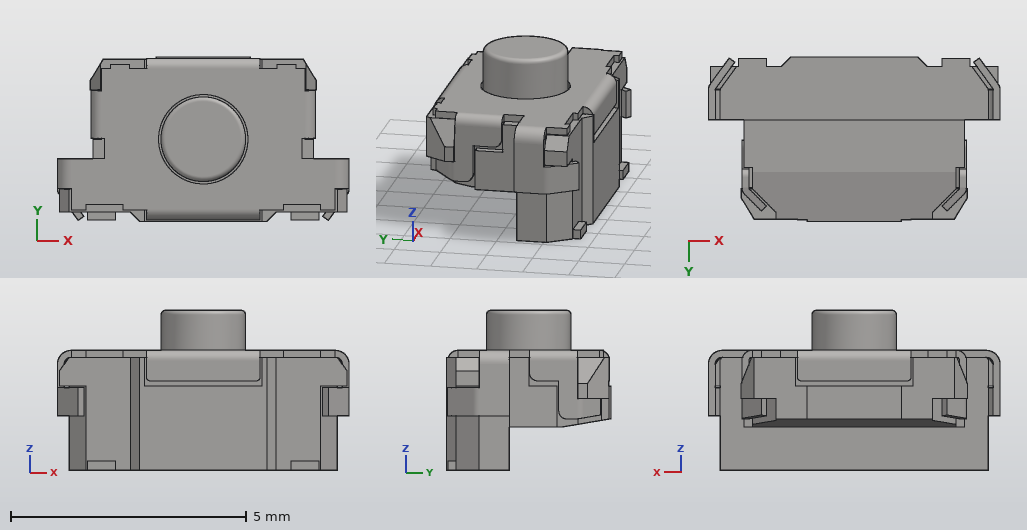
import cadquery as cq
import math


SHEET = 0.15
HOUSING_TOP = 2.4
COVER_TOP = HOUSING_TOP + SHEET
TOTAL_HEIGHT = 3.4
SHOULDER_Z = 1.785
BUTTON_CLEARANCE = 0.05
HOOK_CLEARANCE = 0.03
TAB_CLEARANCE = 0.04
REAR_BOTTOM = 0.915
FRONT_HOOK_ANGLE = 36.0
REAR_HOOK_ANGLE = 45.0
BOTTOM_SLOPE = 0.17

BUTTON_RADIUS = 0.9
BUTTON_ROUND = 0.1
BUTTON_HOLE_RADIUS = BUTTON_RADIUS + BUTTON_CLEARANCE

STEP_Y = -0.41
FRONT_WALL_X = 2.85
FRONT_FACE_Y = -1.55
RIB_DEPTH = 0.2
RIB_HALF_WIDTH = 1.35
CORNER_START_Y = -1.06
CORNER_LENGTH_Y = CORNER_START_Y - FRONT_FACE_Y
CORNER_END_X = FRONT_WALL_X - CORNER_LENGTH_Y * math.tan(math.radians(FRONT_HOOK_ANGLE))
WALL_CHAMFER = 0.05
EAR_X = 3.055
EAR_CHAMFER_HEIGHT = 0.29

FOOT_INNER_X = 1.86
FOOT_WIDTH = 0.6
FOOT_DEPTH = 0.17
FOOT_HEIGHT = 0.2

REAR_FACE_Y = 1.7
REAR_WALL_X = 2.346
RECESS_WALL_X = 2.165
LEDGE_END_Y = 0.6
BLOCK_START_Y = 1.05
BLOCK_CORNER_Y = 1.25
BLOCK_X = 2.4
BLOCK_REAR_X = 2.125
BLOCK_BOTTOM = 1.52
BLOCK_CHAMFER_WIDTH = 0.22
BLOCK_CHAMFER_HEIGHT = 0.555
REAR_POST_Y = 1.55
REAR_WALL_LENGTH_Y = REAR_POST_Y - BLOCK_START_Y
REAR_POST_X = RECESS_WALL_X - REAR_WALL_LENGTH_Y * math.tan(math.radians(REAR_HOOK_ANGLE))
SLOPE_START_Y = 0.7
REAR_PAD_HALF_WIDTH = 1.0
REAR_PAD_DEPTH = 0.05

PLATE_Y = 1.5
SMALL_BEND = 0.22
LARGE_BEND = 0.3
ARM_X = 3.1
ARM_EDGE_X = ARM_X - LARGE_BEND
ARM_FRONT_Y = -1.05
ARM_BOTTOM = 1.155
ARM_HOOK_TOP = SHOULDER_Z - HOOK_CLEARANCE
ARM_HOOK_LENGTH = 0.69
HOOK_BEND = 0.2
SIDE_EDGE_X = 2.165
SIDE_TAB_X = SIDE_EDGE_X + SMALL_BEND
SIDE_TAB_START_Y = 0.016
SIDE_TAB_STEP_Y = 0.637
SIDE_TAB_END_Y = 1.03
SIDE_TAB_BOTTOM = 1.09
SIDE_TAB_ROUND = 0.17
SIDE_HOOK_LENGTH = 0.5
NECK_X = 2.1
TAB_BOTTOM = 1.9
TAB_HALF_WIDTH = 1.205
TAB_ROUND = 0.07
TAB_RECESS_HALF_WIDTH = TAB_HALF_WIDTH + TAB_CLEARANCE
NOTCH_X = (1.7, 2.49)
NOTCH_DEPTH = 0.11
BUMP_X = (1.57, 1.97)
BUMP_DEPTH = 0.085


def block(x, y, z):
    """Box between the given (low, high) limits along each axis."""
    return cq.Workplane("XY").box(
        x[1] - x[0], y[1] - y[0], z[1] - z[0], centered=False
    ).translate((x[0], y[0], z[0]))


def prism_z(points, bottom, top):
    """Plan outline raised from bottom to top."""
    return cq.Workplane("XY", origin=(0, 0, bottom)).polyline(points).close().extrude(top - bottom)


def prism_y(points, start, end):
    """Outline of (x, z) points carried along Y."""
    return cq.Workplane("XZ", origin=(0, start, 0)).polyline(points).close().extrude(start - end)


def with_mirror(shape):
    """Right-hand shape joined to its left-hand copy."""
    return shape.union(shape.mirror("YZ"))


def below_slope(start_y, start_z):
    """Wedge below the sloping rear underside that starts at the given point."""
    run = 2 * REAR_FACE_Y
    wedge = [
        (start_y, start_z),
        (start_y + run, start_z + run * BOTTOM_SLOPE),
        (start_y + run, 0),
        (start_y, 0),
    ]
    return cq.Workplane("YZ").polyline(wedge).close().extrude(EAR_X, both=True)


def front_part():
    plan = [
        (0, STEP_Y),
        (FRONT_WALL_X, STEP_Y),
        (FRONT_WALL_X, CORNER_START_Y),
        (CORNER_END_X, FRONT_FACE_Y),
        (RIB_HALF_WIDTH + RIB_DEPTH, FRONT_FACE_Y),
        (RIB_HALF_WIDTH, FRONT_FACE_Y - RIB_DEPTH),
        (0, FRONT_FACE_Y - RIB_DEPTH),
    ]
    body = prism_z(plan, 0, HOUSING_TOP)
    body = body.faces(">X").edges(">Z").chamfer(WALL_CHAMFER)
    ear = prism_y(
        [
            (CORNER_END_X, HOUSING_TOP),
            (FRONT_WALL_X, HOUSING_TOP),
            (EAR_X, HOUSING_TOP - EAR_CHAMFER_HEIGHT),
            (EAR_X, SHOULDER_Z),
            (CORNER_END_X, SHOULDER_Z),
        ],
        FRONT_FACE_Y,
        CORNER_START_Y,
    )
    foot = block(
        (FOOT_INNER_X, FOOT_INNER_X + FOOT_WIDTH),
        (FRONT_FACE_Y - FOOT_DEPTH, FRONT_FACE_Y),
        (0, FOOT_HEIGHT),
    )
    return with_mirror(body.union(ear).union(foot))


def corner_block():
    """Rear corner overhanging the hook of the side tab."""
    body = prism_z(
        [
            (REAR_POST_X, BLOCK_START_Y),
            (BLOCK_X, BLOCK_START_Y),
            (BLOCK_X, BLOCK_CORNER_Y),
            (BLOCK_REAR_X, REAR_FACE_Y),
            (REAR_POST_X, REAR_FACE_Y),
        ],
        BLOCK_BOTTOM,
        HOUSING_TOP,
    )
    top_chamfer = prism_y(
        [
            (BLOCK_X, HOUSING_TOP),
            (BLOCK_X - BLOCK_CHAMFER_WIDTH, HOUSING_TOP),
            (BLOCK_X, HOUSING_TOP - BLOCK_CHAMFER_HEIGHT),
        ],
        BLOCK_START_Y,
        REAR_FACE_Y,
    )
    return body.cut(top_chamfer)


def rear_part():
    plan = [
        (0, STEP_Y),
        (REAR_WALL_X, STEP_Y),
        (REAR_WALL_X, 0),
        (RECESS_WALL_X, 0),
        (RECESS_WALL_X, BLOCK_START_Y),
        (REAR_POST_X, REAR_POST_Y),
        (REAR_POST_X, REAR_FACE_Y),
        (0, REAR_FACE_Y),
    ]
    body = prism_z(plan, REAR_BOTTOM, HOUSING_TOP)
    ledge = block((RECESS_WALL_X, REAR_WALL_X), (0, LEDGE_END_Y), (REAR_BOTTOM, SHOULDER_Z))
    pad = block(
        (0, REAR_PAD_HALF_WIDTH),
        (REAR_FACE_Y, REAR_FACE_Y + REAR_PAD_DEPTH),
        (REAR_BOTTOM, SHOULDER_Z),
    )
    half = body.union(ledge).union(corner_block()).union(pad)
    return with_mirror(half).cut(below_slope(SLOPE_START_Y, REAR_BOTTOM))


def tab_recesses():
    """Recesses for the front and rear cover tabs."""
    front = block(
        (-TAB_RECESS_HALF_WIDTH, TAB_RECESS_HALF_WIDTH),
        (FRONT_FACE_Y - RIB_DEPTH, -PLATE_Y),
        (SHOULDER_Z, HOUSING_TOP),
    )
    return front.union(front.mirror("XZ"))


housing = front_part().union(rear_part()).cut(tab_recesses())


def bend(edge, radius, plane, start, length):
    """Quarter-round fold from a plate edge, carried along the normal of the plane."""
    inner = radius - SHEET
    centre_z = COVER_TOP - radius
    diagonal = math.sqrt(0.5)
    return (
        cq.Workplane(plane)
        .workplane(offset=start)
        .moveTo(edge, COVER_TOP)
        .threePointArc((edge + radius * diagonal, centre_z + radius * diagonal), (edge + radius, centre_z))
        .lineTo(edge + inner, centre_z)
        .threePointArc((edge + inner * diagonal, centre_z + inner * diagonal), (edge, HOUSING_TOP))
        .close()
        .extrude(length)
    )


def hook(outer_x, start_y, direction, angle, length, bottom, top):
    """Strip running on from a side wall in Y and turned inward by the angle."""
    centre_x = outer_x - HOOK_BEND

    def at(radius, degrees, along=0.0):
        turn = math.radians(degrees)
        x = centre_x + radius * math.cos(turn) - along * math.sin(turn)
        y = radius * math.sin(turn) + along * math.cos(turn)
        return (x, start_y + direction * y)

    inner = HOOK_BEND - SHEET
    return (
        cq.Workplane("XY", origin=(0, 0, bottom))
        .moveTo(*at(HOOK_BEND, 0))
        .threePointArc(at(HOOK_BEND, angle / 2), at(HOOK_BEND, angle))
        .lineTo(*at(HOOK_BEND, angle, length))
        .lineTo(*at(inner, angle, length))
        .lineTo(*at(inner, angle))
        .threePointArc(at(inner, angle / 2), at(inner, 0))
        .close()
        .extrude(top - bottom)
    )


def plate():
    half = [
        (0, -PLATE_Y),
        (NOTCH_X[0], -PLATE_Y),
        (NOTCH_X[0], -PLATE_Y + NOTCH_DEPTH),
        (NOTCH_X[1], -PLATE_Y + NOTCH_DEPTH),
        (NOTCH_X[1], -PLATE_Y),
        (ARM_EDGE_X, -PLATE_Y),
        (ARM_EDGE_X, STEP_Y),
        (NECK_X, STEP_Y),
        (NECK_X, SIDE_TAB_START_Y),
        (SIDE_EDGE_X, SIDE_TAB_START_Y),
        (SIDE_EDGE_X, PLATE_Y),
        (BUMP_X[1], PLATE_Y),
        (BUMP_X[1], PLATE_Y + BUMP_DEPTH),
        (BUMP_X[0], PLATE_Y + BUMP_DEPTH),
        (BUMP_X[0], PLATE_Y),
        (0, PLATE_Y),
    ]
    hole = cq.Workplane("XY", origin=(0, 0, HOUSING_TOP)).circle(BUTTON_HOLE_RADIUS).extrude(SHEET)
    return with_mirror(prism_z(half, HOUSING_TOP, COVER_TOP)).cut(hole)


def front_arm():
    """Right-hand arm beside the front of the housing, ending in a hook."""
    fold = bend(ARM_EDGE_X, LARGE_BEND, "XZ", -STEP_Y, STEP_Y - ARM_FRONT_Y)
    wall = block((ARM_X - SHEET, ARM_X), (ARM_FRONT_Y, STEP_Y), (ARM_BOTTOM, COVER_TOP - LARGE_BEND))
    end = hook(ARM_X, ARM_FRONT_Y, -1, FRONT_HOOK_ANGLE, ARM_HOOK_LENGTH, ARM_BOTTOM, ARM_HOOK_TOP)
    return fold.union(wall).union(end)


def side_tab():
    """Right-hand stepped tab beside the rear of the housing, ending in a hook."""
    fold = bend(SIDE_EDGE_X, SMALL_BEND, "XZ", -SIDE_TAB_END_Y, SIDE_TAB_END_Y - SIDE_TAB_START_Y)
    bend_end = COVER_TOP - SMALL_BEND
    wall = (
        cq.Workplane("YZ", origin=(SIDE_TAB_X - SHEET, 0, 0))
        .moveTo(SIDE_TAB_START_Y, bend_end)
        .lineTo(SIDE_TAB_START_Y, TAB_BOTTOM + SIDE_TAB_ROUND)
        .radiusArc((SIDE_TAB_START_Y + SIDE_TAB_ROUND, TAB_BOTTOM), -SIDE_TAB_ROUND)
        .lineTo(SIDE_TAB_STEP_Y, TAB_BOTTOM)
        .lineTo(SIDE_TAB_STEP_Y, SIDE_TAB_BOTTOM + SIDE_TAB_ROUND)
        .radiusArc((SIDE_TAB_STEP_Y + SIDE_TAB_ROUND, SIDE_TAB_BOTTOM), -SIDE_TAB_ROUND)
        .lineTo(SIDE_TAB_END_Y, SIDE_TAB_BOTTOM)
        .lineTo(SIDE_TAB_END_Y, bend_end)
        .close()
        .extrude(SHEET)
    )
    end = hook(
        SIDE_TAB_X, SIDE_TAB_END_Y, 1, REAR_HOOK_ANGLE, SIDE_HOOK_LENGTH, SIDE_TAB_BOTTOM, BLOCK_BOTTOM
    )
    end = end.cut(below_slope(SIDE_TAB_END_Y, SIDE_TAB_BOTTOM))
    return fold.union(wall).union(end)


def rear_tab():
    """Tab in the rear recess."""
    fold = bend(PLATE_Y, SMALL_BEND, "YZ", -TAB_HALF_WIDTH, 2 * TAB_HALF_WIDTH)
    outer_y = PLATE_Y + SMALL_BEND
    wall = block(
        (-TAB_HALF_WIDTH, TAB_HALF_WIDTH),
        (outer_y - SHEET, outer_y),
        (TAB_BOTTOM, COVER_TOP - SMALL_BEND),
    )
    wall = wall.faces("<Z").edges("|Y").fillet(TAB_ROUND)
    return fold.union(wall)


cover = plate().union(with_mirror(front_arm())).union(with_mirror(side_tab()))
cover = cover.union(rear_tab()).union(rear_tab().mirror("XZ"))

button = (
    cq.Workplane("XY", origin=(0, 0, HOUSING_TOP))
    .circle(BUTTON_RADIUS)
    .extrude(TOTAL_HEIGHT - HOUSING_TOP)
    .faces(">Z")
    .edges()
    .fillet(BUTTON_ROUND)
)

result = cq.Compound.makeCompound([housing.solids().val(), cover.solids().val(), button.val()])